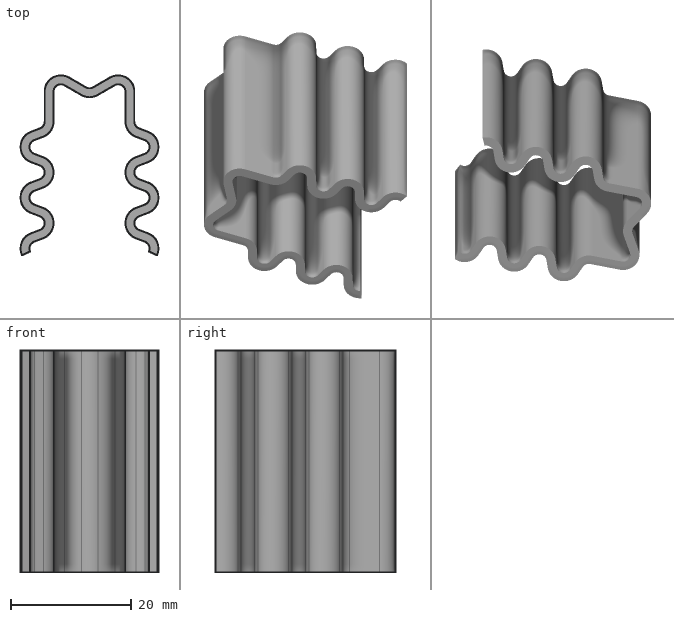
import cadquery as cq
import math

height = 37.0
outer_width = 23.0
outer_depth = 30.0
thickness = 1.5
bend_radius = 1.95
leg_length = 5.0
leg_spacing = 13.45
ridge_slope = 30.0
tip_angle = 25.0
half_wave_count = 5

outer_bend_radius = bend_radius + thickness / 2
leg_x = leg_spacing / 2
wave_width = (outer_width - thickness) / 2 - leg_x
tip_drop = outer_bend_radius * math.sin(math.radians(tip_angle))
half_pitch = (outer_depth - outer_bend_radius - leg_length - tip_drop) / half_wave_count

center_shift = wave_width - 2 * bend_radius
flank_length = math.sqrt(center_shift**2 + half_pitch**2 - (2 * bend_radius) ** 2)
wave_turn = math.degrees(math.atan2(center_shift, half_pitch) + math.atan2(2 * bend_radius, flank_length))

slope = math.radians(ridge_slope)
ridge_run = leg_x - bend_radius - 2 * bend_radius * math.sin(slope)
ridge_length = ridge_run / math.cos(slope)
valley_drop = 2 * bend_radius * (1 - math.cos(slope)) + ridge_run * math.tan(slope)

lobe_top_y = (outer_depth - thickness) / 2
valley_y = lobe_top_y - valley_drop


def strip_steps():
    """(length, turn) steps from the valley to the right-hand tip; left turns are positive."""
    steps = [(0, ridge_slope), (ridge_length, -(90 + ridge_slope)), (leg_length, 0)]
    side = 1
    for _ in range(half_wave_count):
        steps += [(0, side * wave_turn), (flank_length, -side * wave_turn)]
        side = -side
    steps.append((0, side * tip_angle))
    return steps


def offset_point(point, heading, distance):
    """Point at a distance to the left of the heading."""
    angle = math.radians(heading + 90)
    return (point[0] + distance * math.cos(angle), point[1] + distance * math.sin(angle))


def edge_segments(offset):
    """Segments (middle or None, end) of the strip edge at an offset left of the centreline."""
    point = (0, valley_y)
    heading = 0
    segments = []
    for length, turn in strip_steps():
        if length:
            point = offset_point(point, heading - 90, length)
            segments.append((None, offset_point(point, heading, offset)))
        if turn:
            toward_center = math.copysign(bend_radius, turn)
            center = offset_point(point, heading, toward_center)
            middle = offset_point(center, heading + turn / 2, offset - toward_center)
            heading += turn
            point = offset_point(center, heading, -toward_center)
            segments.append((middle, offset_point(point, heading, offset)))
    return segments


def reversed_segments(start, segments):
    """The same path walked from its end back to its start."""
    ends = [start] + [end for _, end in segments[:-1]]
    middles = [middle for middle, _ in segments]
    return list(zip(middles, ends))[::-1]


def draw_segments(sketch, segments):
    for middle, end in segments:
        if middle is None:
            sketch = sketch.lineTo(*end)
        else:
            sketch = sketch.threePointArc(middle, end)
    return sketch


def half_strip():
    """Right-hand half of the clip, from the valley to the tip."""
    half_thickness = thickness / 2
    outer_start = (0, valley_y + half_thickness)
    inner_start = (0, valley_y - half_thickness)
    inner_edge = edge_segments(-half_thickness)
    sketch = cq.Workplane("XY").moveTo(*outer_start)
    sketch = draw_segments(sketch, edge_segments(half_thickness))
    sketch = sketch.lineTo(*inner_edge[-1][1])
    sketch = draw_segments(sketch, reversed_segments(inner_start, inner_edge))
    return sketch.close().extrude(height)


right_half = half_strip()
result = right_half.union(right_half.mirror("YZ")).clean()